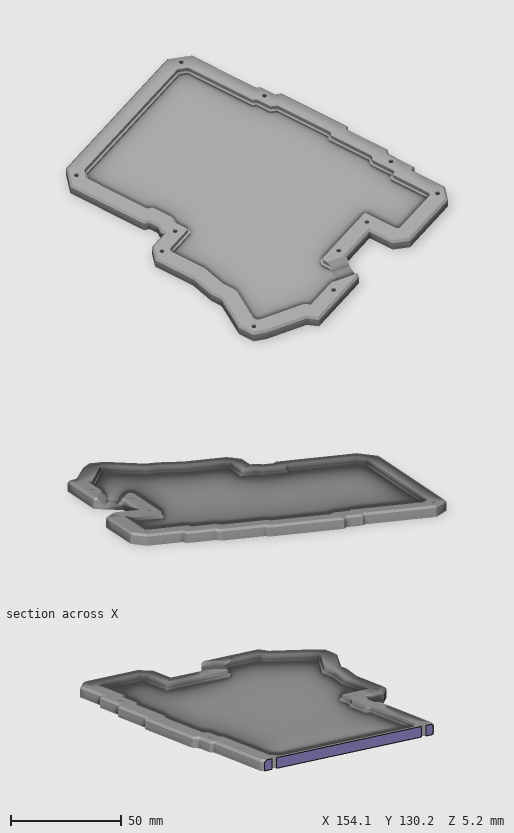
import cadquery as cq

height = 5.2
edge_chamfer = 1.0
rim_width = 7.9

seat_depth = 2.0
pocket_depth = 3.2
seat_width = 1.15

corner_pad_x = 127.9
corner_pad_y = 55.2
corner_pad_size = 7.7
corner_pad_chamfer = 1.1

notch_start = (135.8, 63.5)
notch_end = (146.3, 57.5)
notch_depth = 3.5
notch_top_width = 12.3
notch_reach = 13.9

hole_diameter = 2.2

outline = [
    (0, 37.0), (0, 118.5), (8.0, 126.7),
    (43.3, 126.7), (44.5, 128.0), (52.5, 128.0), (54.7, 130.2), (91.2, 130.2), (92.3, 128.7),
    (113.9, 128.7), (115.9, 126.7), (130.2, 126.7), (131.0, 124.4),
    (148.4, 124.4), (154.1, 118.5), (154.1, 88.0), (148.4, 82.3), (135.8, 82.3),
    notch_start, notch_end, (147.5, 56.4), (147.5, 24.3), (142.4, 22.0), (132.4, 4.8),
    (128.2, 0), (120.2, 0), (103.9, 9.9), (98.2, 9.9), (86.5, 13.0), (65.3, 13.0),
    (59.5, 18.8), (59.5, 28.7),
    (57.6, 28.7), (54.7, 30.7), (50.2, 30.7), (48.5, 28.7), (8.0, 28.7),
]

hole_centers = [
    (6.8, 119.9), (49.6, 124.0), (119.9, 122.8), (148.4, 118.5), (131.9, 85.8), (131.3, 64.1),
    (143.0, 42.7), (125.8, 3.9), (65.2, 18.6), (63.2, 32.2), (6.8, 35.5),
]


def make_plate():
    body = cq.Workplane("XY").polyline(outline).close().extrude(height)
    return body.faces(">Z").chamfer(edge_chamfer)


def make_pocket():
    """Solid to remove: the seat follows the outer boundary, the floor follows the seat."""
    seat_level = height - seat_depth
    boundary = cq.Workplane("XY").workplane(offset=seat_level).polyline(outline).close()
    seat = boundary.offset2D(-rim_width, "intersection").extrude(seat_depth)
    pad = (
        cq.Workplane("XY")
        .workplane(offset=seat_level)
        .moveTo(corner_pad_x, corner_pad_y)
        .rect(corner_pad_size, corner_pad_size, centered=False)
        .extrude(seat_depth)
        .edges("|Z and <X and <Y")
        .chamfer(corner_pad_chamfer)
    )
    seat = seat.cut(pad)
    floor = seat.faces("<Z").wires().toPending().offset2D(-seat_width, "arc")
    return seat.union(floor.extrude(seat_depth - pocket_depth))


def make_notch(pocket):
    """Trapezoidal bar with 45 degree sides, centred on the slanted edge, ending at the pocket floor."""
    run = notch_end[0] - notch_start[0]
    rise = notch_end[1] - notch_start[1]
    half_top = notch_top_width / 2
    half_floor = half_top - notch_depth
    middle = ((notch_start[0] + notch_end[0]) / 2, (notch_start[1] + notch_end[1]) / 2, height)
    section = cq.Plane(origin=middle, xDir=(run, rise, 0), normal=(rise, -run, 0))
    profile = [
        (-half_top, 0),
        (-half_floor, -notch_depth),
        (half_floor, -notch_depth),
        (half_top, 0),
    ]
    bar = cq.Workplane(section).polyline(profile).close().extrude(notch_reach, both=True)
    pocket_floor = pocket.faces("<Z").wires().toPending().extrude(-height)
    return bar.cut(pocket_floor)


def make_holes():
    return cq.Workplane("XY").pushPoints(hole_centers).circle(hole_diameter / 2).extrude(height)


pocket = make_pocket()
result = make_plate().cut(pocket).cut(make_notch(pocket)).cut(make_holes())